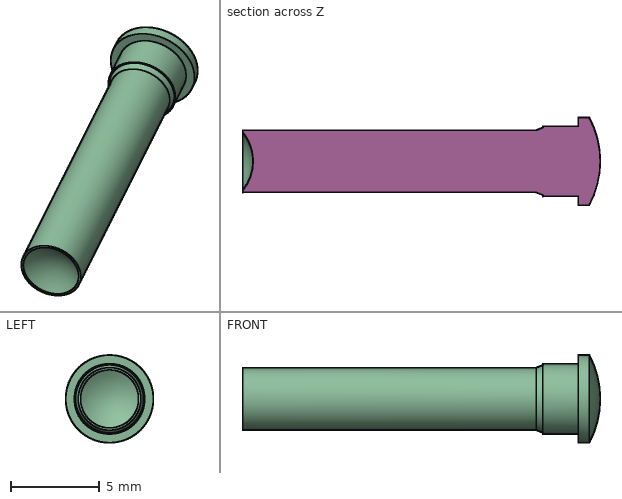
import cadquery as cq

total_length = 20.32
dome_height = 0.63
head_rim_length = 0.63
neck_length = 2.01
taper_length = 0.37

shank_diameter = 3.55
taper_end_diameter = 3.86
neck_diameter = 4.0
head_diameter = 5.0
dish_diameter = 3.3

dish_depth = 0.59

rim_end = total_length - dome_height
head_start = rim_end - head_rim_length
neck_start = head_start - neck_length
shank_end = neck_start - taper_length


def cap_radius(base_radius, height):
    """Radius of the sphere whose cap has the given base radius and height."""
    return (base_radius**2 + height**2) / (2 * height)


def arc_offset(sphere_radius, cap_height, distance):
    """Height of a spherical cap above its base at a distance from the axis."""
    return (sphere_radius**2 - distance**2) ** 0.5 - (sphere_radius - cap_height)


dome_radius = cap_radius(head_diameter / 2, dome_height)
dish_radius = cap_radius(dish_diameter / 2, dish_depth)

dome_mid_distance = head_diameter / 4
dome_mid_x = rim_end + arc_offset(dome_radius, dome_height, dome_mid_distance)
dish_mid_distance = dish_diameter / 4
dish_mid_x = arc_offset(dish_radius, dish_depth, dish_mid_distance)

profile = (
    cq.Workplane("XY")
    .moveTo(dish_depth, 0)
    .threePointArc((dish_mid_x, dish_mid_distance), (0, dish_diameter / 2))
    .lineTo(0, shank_diameter / 2)
    .lineTo(shank_end, shank_diameter / 2)
    .lineTo(neck_start, taper_end_diameter / 2)
    .lineTo(neck_start, neck_diameter / 2)
    .lineTo(head_start, neck_diameter / 2)
    .lineTo(head_start, head_diameter / 2)
    .lineTo(rim_end, head_diameter / 2)
    .threePointArc((dome_mid_x, dome_mid_distance), (total_length, 0))
    .close()
)

result = profile.revolve(360, (0, 0, 0), (1, 0, 0))